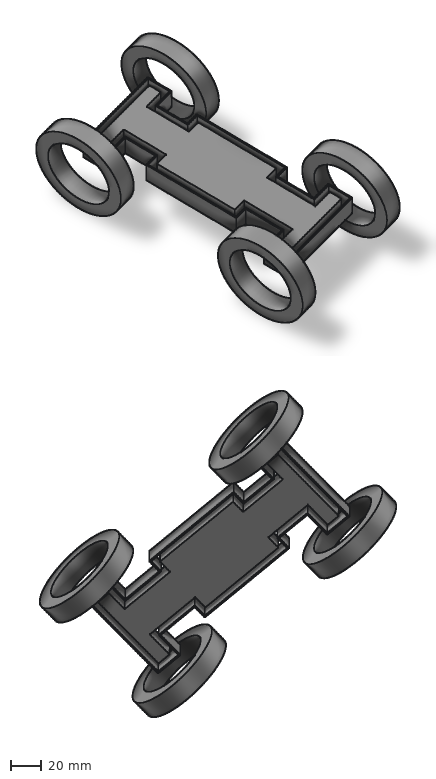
import cadquery as cq

frame_length = 170.0
crossbar_length = 20.0
crossbar_width = 70.0
waist_width = 35.0
middle_start = 45.0
middle_length = 75.0
middle_width = 55.0
middle_offset_y = 2.0

frame_height = 16.0
frame_wall = 1.0
core_inset = 5.0
core_height = frame_height

wheel_diameter = 70.5
wheel_bore = 50.7
wheel_width = 14.0
wheel_axis_z = 6.5
left_axle_x = -75.5
front_right_axle_x = 75.3
back_right_axle_x = 74.8
back_wheel_gap = 4.9
front_left_wheel_gap = 3.5
front_right_wheel_gap = 3.0


def chassis_block(inset, height):
    """Solid with the chassis outline moved inward by inset, standing on Z = 0."""
    left = -frame_length / 2 + inset
    right = frame_length / 2 - inset
    left_bar_end = left + crossbar_length - 2 * inset
    right_bar_start = right - crossbar_length + 2 * inset
    middle_left = -frame_length / 2 + middle_start + inset
    middle_right = middle_left + middle_length - 2 * inset
    bar_y = crossbar_width / 2 - inset
    waist_y = waist_width / 2 - inset
    middle_y = middle_width / 2 - inset

    def long_edge(side):
        """Points along one long edge from left to right; side is +1 back, -1 front."""
        bar_edge = side * bar_y
        waist_edge = middle_offset_y + side * waist_y
        middle_edge = middle_offset_y + side * middle_y
        return [
            (left, bar_edge),
            (left_bar_end, bar_edge),
            (left_bar_end, waist_edge),
            (middle_left, waist_edge),
            (middle_left, middle_edge),
            (middle_right, middle_edge),
            (middle_right, waist_edge),
            (right_bar_start, waist_edge),
            (right_bar_start, bar_edge),
            (right, bar_edge),
        ]

    outline = long_edge(1) + long_edge(-1)[::-1]
    return cq.Workplane("XY").polyline(outline).close().extrude(height)


def make_frame():
    """Thin wall around the chassis, open at top and bottom."""
    return chassis_block(0, frame_height).cut(chassis_block(frame_wall, frame_height))


def make_core():
    """Plate standing inside the frame with clearance all round."""
    return chassis_block(core_inset, core_height)


def make_wheel(axle_x, front_y):
    """Ring with its axis along Y, reaching back from its front face at front_y."""
    return (
        cq.Workplane("XZ", origin=(axle_x, front_y, wheel_axis_z))
        .circle(wheel_diameter / 2)
        .circle(wheel_bore / 2)
        .extrude(-wheel_width)
    )


frame = make_frame()
core = make_core()

wheel_places = [
    (left_axle_x, 1, back_wheel_gap),
    (back_right_axle_x, 1, back_wheel_gap),
    (left_axle_x, -1, front_left_wheel_gap),
    (front_right_axle_x, -1, front_right_wheel_gap),
]
wheels = []
for axle_x, side, gap in wheel_places:
    wheel_center_y = side * (crossbar_width / 2 + gap + wheel_width / 2)
    wheels.append(make_wheel(axle_x, wheel_center_y - wheel_width / 2).val())

result = cq.Compound.makeCompound([frame.val(), core.val(), *wheels])